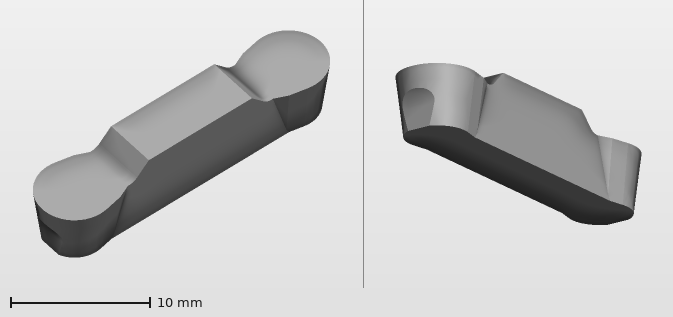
import cadquery as cq
import math

length = 25.8
height = 5.95

bar_width = 4.28
bar_half_length = 8.77
crown_half_length = 4.77
ramp_angle = 45.0
ramp_fillet = 1.03

head_height = 4.57
head_radius = 3.0
head_taper = 7.0
flank_angle = 11.4
neck_start = 7.82
neck_end = 6.7
head_back = 5.68

relief_face = 12.15
relief_flat_top = 1.7
relief_radius = 1.57
relief_height = 2.92


def make_bar():
    """Bar with a raised middle that ramps down to the level of the heads."""
    ramp_foot = crown_half_length + (height - head_height) / math.tan(math.radians(ramp_angle))
    outline = [
        (-bar_half_length, 0),
        (bar_half_length, 0),
        (bar_half_length, head_height),
        (ramp_foot, head_height),
        (crown_half_length, height),
        (-crown_half_length, height),
        (-ramp_foot, head_height),
        (-bar_half_length, head_height),
    ]
    bar = cq.Workplane("YZ").polyline(outline).close().extrude(bar_width / 2, both=True)
    feet = cq.selectors.BoxSelector(
        (-bar_width, -bar_half_length + ramp_fillet, head_height / 2),
        (bar_width, bar_half_length - ramp_fillet, (head_height + height) / 2),
    )
    return bar.edges("|X").edges(feet).fillet(ramp_fillet)


def make_head():
    """Teardrop head at the -Y end, drawn at its top and tapered down to the base."""
    nose_center = -length / 2 + head_radius
    flank = math.radians(flank_angle)
    tangent_x = head_radius * math.cos(flank)
    tangent_y = nose_center + head_radius * math.sin(flank)
    neck_x = tangent_x - (-neck_start - tangent_y) * math.tan(flank)
    neck_slope = (neck_x - bar_width / 2) / (neck_start - neck_end)
    back_x = neck_x - neck_slope * (neck_start - head_back)
    return (
        cq.Workplane("XY", origin=(0, 0, head_height))
        .moveTo(tangent_x, tangent_y)
        .lineTo(neck_x, -neck_start)
        .lineTo(back_x, -head_back)
        .lineTo(-back_x, -head_back)
        .lineTo(-neck_x, -neck_start)
        .lineTo(-tangent_x, tangent_y)
        .threePointArc((0, -length / 2), (tangent_x, tangent_y))
        .close()
        .extrude(-head_height, taper=head_taper)
    )


def make_relief():
    """Cutter for the nose: a vertical flat that runs out along a concave arc."""
    def arc_point(z):
        rise = z - relief_flat_top
        return (-relief_face - relief_radius + math.sqrt(relief_radius**2 - rise**2), z)

    return (
        cq.Workplane("YZ")
        .moveTo(-length / 2, 0)
        .lineTo(-relief_face, 0)
        .lineTo(-relief_face, relief_flat_top)
        .threePointArc(arc_point((relief_flat_top + relief_height) / 2), arc_point(relief_height))
        .lineTo(-length / 2, relief_height)
        .close()
        .extrude(head_radius, both=True)
    )


head = make_head().cut(make_relief())
result = make_bar().union(head).union(head.mirror("XZ"))